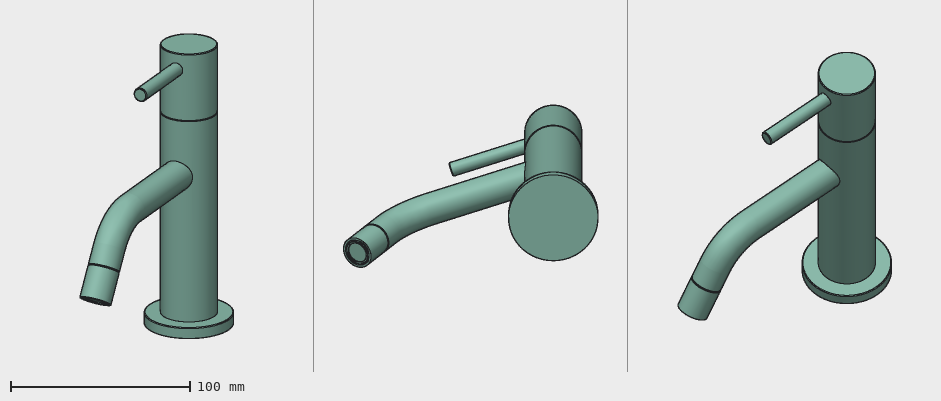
import cadquery as cq
import math

COLUMN_RADIUS = 16.0
COLUMN_TOP = 126.8
TOTAL_HEIGHT = 166.8

FLANGE_RADIUS = 25.0
FLANGE_HEIGHT = 6.5
FLANGE_CHAMFER = 0.5

SEAM_CHAMFER = 0.3
CAP_TOP_CHAMFER = 0.5

LEVER_RADIUS = 4.0
LEVER_AXIS_Z = 157.0
LEVER_REACH = 60.0
LEVER_SOCKET_Y = 11.7
LEVER_CHAMFER = 0.5

SPOUT_RADIUS = 9.0
SPOUT_AXIS_Z = 93.0
SPOUT_SOCKET_Y = 10.0
BEND_START_Y = 72.2
BEND_RADIUS = 30.9
BEND_ANGLE = 57.0
SPOUT_END_RUN = 12.5

NOZZLE_LENGTH = 18.8
NOZZLE_JOINT_CHAMFER = 0.42
NOZZLE_BORE_RADIUS = 7.7
NOZZLE_BORE_DEPTH = 5.0

AERATOR_LIP_RADIUS = 6.8
AERATOR_GROOVE_DEPTH = 1.3

SCREEN_RADIUS = 5.8
SCREEN_THICKNESS = 0.8
SCREEN_RECESS = 0.7


def plane_facing_minus_y(start_y, axis_z):
    """Plane at the distance start_y in front of the column axis, with its normal along -Y."""
    return cq.Plane(origin=(0, -start_y, axis_z), xDir=(1, 0, 0), normal=(0, -1, 0))


def spout_path():
    """Centre line of the spout in the YZ plane, with its end point and end direction."""
    angle = math.radians(BEND_ANGLE)
    centre_z = SPOUT_AXIS_Z - BEND_RADIUS

    def on_bend(turn):
        return (-BEND_START_Y - BEND_RADIUS * math.sin(turn), centre_z + BEND_RADIUS * math.cos(turn))

    bend_end = on_bend(angle)
    direction = (-math.cos(angle), -math.sin(angle))
    end = (bend_end[0] + SPOUT_END_RUN * direction[0], bend_end[1] + SPOUT_END_RUN * direction[1])
    path = (
        cq.Workplane("YZ")
        .moveTo(-SPOUT_SOCKET_Y, SPOUT_AXIS_Z)
        .lineTo(-BEND_START_Y, SPOUT_AXIS_Z)
        .threePointArc(on_bend(angle / 2), bend_end)
        .lineTo(*end)
    )
    return path, end, direction


def make_spout(path):
    """Solid spout with its root inside the column and a chamfer at the nozzle joint."""
    start_plane = plane_facing_minus_y(SPOUT_SOCKET_Y, SPOUT_AXIS_Z)
    tube = cq.Workplane(start_plane).circle(SPOUT_RADIUS).sweep(path)
    return tube.faces("<Z").chamfer(NOZZLE_JOINT_CHAMFER)


def make_flange():
    flange = cq.Workplane("XY").circle(FLANGE_RADIUS).extrude(FLANGE_HEIGHT)
    return flange.faces(">Z").chamfer(FLANGE_CHAMFER)


def make_column(spout):
    """Column on the flange, with a socket that matches the root of the spout."""
    column = cq.Workplane("XY").workplane(offset=FLANGE_HEIGHT)
    column = column.circle(COLUMN_RADIUS).extrude(COLUMN_TOP - FLANGE_HEIGHT)
    return column.faces(">Z").chamfer(SEAM_CHAMFER).cut(spout)


def make_cap(lever):
    """Handle cap, with a socket that matches the root of the lever."""
    cap = cq.Workplane("XY").workplane(offset=COLUMN_TOP)
    cap = cap.circle(COLUMN_RADIUS).extrude(TOTAL_HEIGHT - COLUMN_TOP)
    cap = cap.faces("<Z").chamfer(SEAM_CHAMFER).faces(">Z").chamfer(CAP_TOP_CHAMFER)
    return cap.cut(lever)


def make_lever():
    root_plane = plane_facing_minus_y(LEVER_SOCKET_Y, LEVER_AXIS_Z)
    lever = cq.Workplane(root_plane).circle(LEVER_RADIUS).extrude(LEVER_REACH - LEVER_SOCKET_Y)
    return lever.faces("<Y").chamfer(LEVER_CHAMFER)


def make_nozzle(end_plane):
    """Sleeve in line with the spout end, chamfered at the joint and bored from the outlet."""
    nozzle = cq.Workplane(end_plane).circle(SPOUT_RADIUS).extrude(NOZZLE_LENGTH)
    joint_face = cq.selectors.DirectionMinMaxSelector(end_plane.zDir, False)
    nozzle = nozzle.faces(joint_face).chamfer(NOZZLE_JOINT_CHAMFER)
    bore = cq.Workplane(end_plane).workplane(offset=NOZZLE_LENGTH - NOZZLE_BORE_DEPTH)
    return nozzle.cut(bore.circle(NOZZLE_BORE_RADIUS).extrude(NOZZLE_BORE_DEPTH))


def make_aerator(end_plane, screen):
    """Stepped disc filling the nozzle bore, with a pocket at its outlet that holds the screen."""
    body_length = NOZZLE_BORE_DEPTH - AERATOR_GROOVE_DEPTH
    seat = cq.Workplane(end_plane).workplane(offset=NOZZLE_LENGTH - NOZZLE_BORE_DEPTH)
    body = seat.circle(NOZZLE_BORE_RADIUS).extrude(body_length)
    lip = seat.circle(AERATOR_LIP_RADIUS).extrude(NOZZLE_BORE_DEPTH)
    outlet = cq.Workplane(end_plane).workplane(offset=NOZZLE_LENGTH - SCREEN_RECESS)
    outlet = outlet.circle(SCREEN_RADIUS).extrude(SCREEN_RECESS)
    return body.union(lip).cut(outlet).cut(screen)


def make_screen(end_plane):
    seat = cq.Workplane(end_plane).workplane(offset=NOZZLE_LENGTH - SCREEN_RECESS - SCREEN_THICKNESS)
    return seat.circle(SCREEN_RADIUS).extrude(SCREEN_THICKNESS)


path, spout_end, spout_direction = spout_path()
end_plane = cq.Plane(origin=(0, *spout_end), xDir=(1, 0, 0), normal=(0, *spout_direction))

spout = make_spout(path)
lever = make_lever()
flange = make_flange()
column = make_column(spout)
cap = make_cap(lever)
nozzle = make_nozzle(end_plane)
screen = make_screen(end_plane)
aerator = make_aerator(end_plane, screen)

result = cq.Compound.makeCompound(
    [
        flange.val(),
        column.val(),
        cap.val(),
        lever.val(),
        spout.val(),
        nozzle.val(),
        aerator.val(),
        screen.val(),
    ]
)